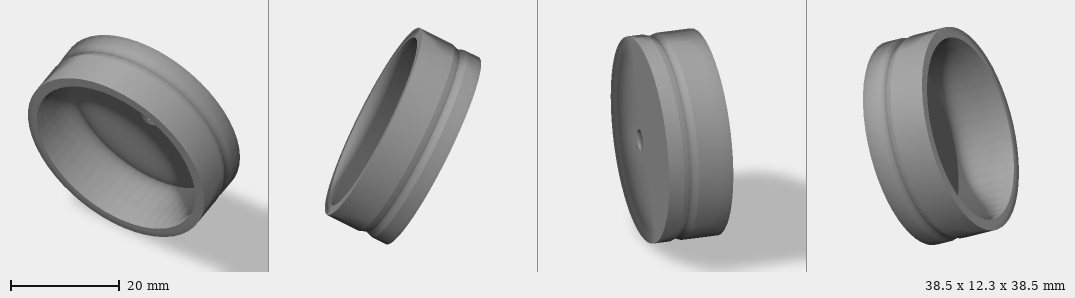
import cadquery as cq

outer_diameter = 38.5
width = 12.3
bore_diameter = 34.5
hole_diameter = 4.05
floor_thickness = 0.77

groove_start = 2.93
groove_width = 2.77
groove_depth = 0.5

outer_radius = outer_diameter / 2
bore_radius = bore_diameter / 2
hole_radius = hole_diameter / 2
floor_y = width - floor_thickness
groove_back_y = width - groove_start
groove_front_y = groove_back_y - groove_width
groove_bottom_y = (groove_back_y + groove_front_y) / 2

half_section = [
    (bore_radius, 0),
    (outer_radius, 0),
    (outer_radius, groove_front_y),
    (outer_radius - groove_depth, groove_bottom_y),
    (outer_radius, groove_back_y),
    (outer_radius, width),
    (hole_radius, width),
    (hole_radius, floor_y),
    (bore_radius, floor_y),
]

result = (
    cq.Workplane("XY")
    .polyline(half_section)
    .close()
    .revolve(360, (0, 0, 0), (0, 1, 0))
)